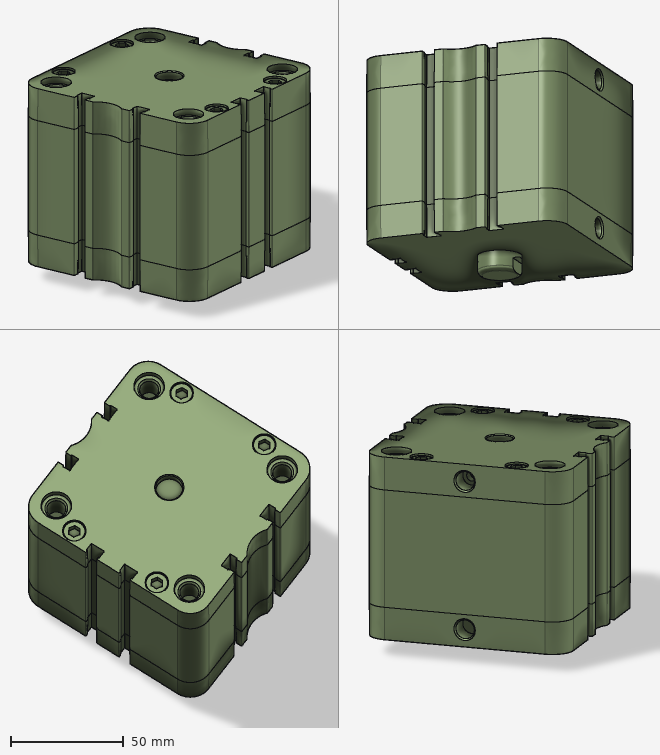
import cadquery as cq
import math

SIDE = 95.5
HALF_SIDE = SIDE / 2
CORNER_RADIUS = 10.0
BOTTOM_CAP_HEIGHT = 15.0
TUBE_HEIGHT = 54.0
TOP_CAP_HEIGHT = 15.1
TUBE_TOP = BOTTOM_CAP_HEIGHT + TUBE_HEIGHT
TOP_FACE = TUBE_TOP + TOP_CAP_HEIGHT

SLOT_MOUTH_WIDTH = 5.5
SLOT_INNER_WIDTH = 6.7
Y_SIDE_SLOT_OFFSET = 15.0
Y_SIDE_SLOT_LIP = 3.2
Y_SIDE_SLOT_DEPTH = 6.6
X_SIDE_SLOT_OFFSET = 9.0
X_SIDE_SLOT_LIP = 1.5
X_SIDE_SLOT_DEPTH = 5.2

GROOVE_RADIUS = 12.5
GROOVE_DEPTH = 2.8
GROOVE_HALF_WIDTH = math.sqrt(GROOVE_RADIUS**2 - (GROOVE_RADIUS - GROOVE_DEPTH) ** 2)

SLOT_EDGE_RADIUS = 0.3
GROOVE_EDGE_RADIUS = 0.5

CAP_DRAFT = 0.5

MOUNT_OFFSET = 36.0
MOUNT_COUNTERBORE_DIAMETER = 13.5
MOUNT_COUNTERBORE_DEPTH = 3.0
MOUNT_HOLE_DIAMETER = 8.4
MOUNT_CHAMFER_DIAMETER = 10.1

SCREW_OFFSET_X = 41.6
SCREW_OFFSET_Y = 22.3
SCREW_RECESS_DIAMETER = 10.3
SCREW_RECESS_DEPTH = 0.8
SCREW_EDGE_CHAMFER = 0.4
HEX_ACROSS_FLATS = 5.0
HEX_DEPTH = 3.0

CENTRE_DIAMETER = 12.0
CENTRE_CHAMFER_DIAMETER = 13.0
CENTRE_DEPTH = 4.0

PORT_DIAMETER = 8.6
PORT_CHAMFER_DIAMETER = 10.1
PORT_DEPTH = 10.0
BOTTOM_PORT_HEIGHT = 8.0
TOP_PORT_HEIGHT = TOP_FACE - 7.8
PASSAGE_DIAMETER = 5.0
PASSAGE_DEPTH = 5.0

ROD_DIAMETER = 20.0
ROD_LENGTH = 9.0
ROD_END_FILLET = 2.0
FLAT_SPACING = 17.0
FLAT_TOP_DEPTH = 3.15


def slot_cutter(side_angle, offset, lip, depth):
    """T-shaped slot cut into the +X side, then turned about Z to another side."""
    mouth = cq.Workplane("XY").box(depth, SLOT_MOUTH_WIDTH, TUBE_HEIGHT, centered=(False, True, False))
    inner = cq.Workplane("XY").box(
        depth - lip, SLOT_INNER_WIDTH, TUBE_HEIGHT, centered=(False, True, False)
    )
    slot = mouth.union(inner).translate((HALF_SIDE - depth, offset, 0))
    return slot.rotate((0, 0, 0), (0, 0, 1), side_angle)


def on_y_side(edge):
    return math.isclose(abs(edge.Center().y), HALF_SIDE)


def is_groove_edge(edge):
    """True for a vertical edge where a round groove meets a Y side."""
    return on_y_side(edge) and math.isclose(abs(edge.Center().x), GROOVE_HALF_WIDTH, rel_tol=0.001)


def is_slot_edge(edge):
    """True for a vertical edge at the mouth of a sensor slot."""
    centre = edge.Center()
    if on_y_side(edge):
        along, slot_offset = centre.x, Y_SIDE_SLOT_OFFSET
    elif math.isclose(centre.x, HALF_SIDE):
        along, slot_offset = centre.y, X_SIDE_SLOT_OFFSET
    else:
        return False
    return math.isclose(abs(abs(along) - slot_offset), SLOT_MOUTH_WIDTH / 2)


def make_profile_block():
    """Rounded square prism as long as the tube, with the sensor slots and side grooves."""
    block = cq.Workplane("XY").rect(SIDE, SIDE).extrude(TUBE_HEIGHT).edges("|Z").fillet(CORNER_RADIUS)
    for direction in (-1, 1):
        x_side_offset = direction * X_SIDE_SLOT_OFFSET
        block = block.cut(slot_cutter(0, x_side_offset, X_SIDE_SLOT_LIP, X_SIDE_SLOT_DEPTH))
        y_side_offset = direction * Y_SIDE_SLOT_OFFSET
        for side_angle in (90, -90):
            block = block.cut(
                slot_cutter(side_angle, y_side_offset, Y_SIDE_SLOT_LIP, Y_SIDE_SLOT_DEPTH)
            )
        groove_centre = direction * (HALF_SIDE - GROOVE_DEPTH + GROOVE_RADIUS)
        groove = cq.Workplane("XY").center(0, groove_centre).circle(GROOVE_RADIUS).extrude(TUBE_HEIGHT)
        block = block.cut(groove)
    block = block.edges("|Z").filter(is_groove_edge).fillet(GROOVE_EDGE_RADIUS)
    return block.edges("|Z").filter(is_slot_edge).fillet(SLOT_EDGE_RADIUS)


def drafted_cap(height):
    """Cap blank standing on the tube profile at Z = 0 and narrowing upwards."""
    outline = make_profile_block().faces("<Z").wires().val()
    return cq.Workplane("XY").add(outline).toPending().extrude(height, taper=CAP_DRAFT)


def chamfered_hole(diameter, chamfer_diameter, depth):
    """Blind hole going down from Z = 0 with a 45 degree chamfer at its mouth."""
    radius = diameter / 2
    mouth_radius = chamfer_diameter / 2
    return (
        cq.Workplane("XZ")
        .polyline(
            [(0, 0), (mouth_radius, 0), (radius, radius - mouth_radius), (radius, -depth), (0, -depth)]
        )
        .close()
        .revolve(360, (0, 0, 0), (0, 1, 0))
    )


def port_cutter(height):
    """Chamfered blind port bored into the -X side."""
    hole = chamfered_hole(PORT_DIAMETER, PORT_CHAMFER_DIAMETER, PORT_DEPTH)
    return hole.rotate((0, 0, 0), (0, 1, 0), -90).translate((-HALF_SIDE, 0, height))


def mount_cutter():
    """Counterbored threaded hole that passes through the top cap."""
    counterbore = (
        cq.Workplane("XY").circle(MOUNT_COUNTERBORE_DIAMETER / 2).extrude(-MOUNT_COUNTERBORE_DEPTH)
    )
    hole = chamfered_hole(
        MOUNT_HOLE_DIAMETER, MOUNT_CHAMFER_DIAMETER, TOP_CAP_HEIGHT - MOUNT_COUNTERBORE_DEPTH
    )
    return counterbore.union(hole.translate((0, 0, -MOUNT_COUNTERBORE_DEPTH)))


def screw_cutter():
    """Space around a recessed screw head: its chamfered rim and hexagon socket."""
    rim_depth = SCREW_RECESS_DEPTH + SCREW_EDGE_CHAMFER
    recess = cq.Workplane("XY").circle(SCREW_RECESS_DIAMETER / 2).extrude(-rim_depth)
    head = (
        cq.Workplane("XY", origin=(0, 0, -rim_depth))
        .circle(SCREW_RECESS_DIAMETER / 2)
        .extrude(SCREW_EDGE_CHAMFER, taper=45)
    )
    hex_corner_diameter = HEX_ACROSS_FLATS / math.cos(math.radians(30))
    socket = (
        cq.Workplane("XY", origin=(0, 0, -SCREW_RECESS_DEPTH))
        .transformed(rotate=(0, 0, 30))
        .polygon(6, hex_corner_diameter)
        .extrude(-HEX_DEPTH)
    )
    return recess.cut(head).union(socket)


def make_bottom_cap():
    """Cap at the rod end, with a plain port."""
    cap = drafted_cap(BOTTOM_CAP_HEIGHT).mirror("XY").translate((0, 0, BOTTOM_CAP_HEIGHT))
    return cap.cut(port_cutter(BOTTOM_PORT_HEIGHT))


def make_tube():
    """Middle body between the two caps."""
    return make_profile_block().translate((0, 0, BOTTOM_CAP_HEIGHT))


def make_top_cap():
    """Closed-end cap with mounting holes, screw heads, centring recess and a stepped port."""
    cap = drafted_cap(TOP_CAP_HEIGHT).translate((0, 0, TUBE_TOP))
    for x_sign in (-1, 1):
        for y_sign in (-1, 1):
            mount = mount_cutter().translate((x_sign * MOUNT_OFFSET, y_sign * MOUNT_OFFSET, TOP_FACE))
            screw = screw_cutter().translate((x_sign * SCREW_OFFSET_X, y_sign * SCREW_OFFSET_Y, TOP_FACE))
            cap = cap.cut(mount).cut(screw)
    centre = chamfered_hole(CENTRE_DIAMETER, CENTRE_CHAMFER_DIAMETER, CENTRE_DEPTH)
    cap = cap.cut(centre.translate((0, 0, TOP_FACE)))
    cap = cap.cut(port_cutter(TOP_PORT_HEIGHT))
    passage = (
        cq.Workplane("YZ", origin=(-HALF_SIDE, 0, TOP_PORT_HEIGHT))
        .circle(PASSAGE_DIAMETER / 2)
        .extrude(PORT_DEPTH + PASSAGE_DEPTH)
    )
    return cap.cut(passage)


def flat_cutter():
    """Wrench flat on the +X side of the rod, with a 45 degree run-out at its top."""
    flat_x = FLAT_SPACING / 2
    outer_x = ROD_DIAMETER
    run_out = outer_x - flat_x
    return (
        cq.Workplane("XZ")
        .polyline(
            [
                (flat_x, -ROD_LENGTH),
                (flat_x, -FLAT_TOP_DEPTH),
                (outer_x, -FLAT_TOP_DEPTH + run_out),
                (outer_x, -ROD_LENGTH),
            ]
        )
        .close()
        .extrude(ROD_DIAMETER / 2, both=True)
    )


def make_rod():
    """Rod end below the bottom cap, with a rounded tip and two wrench flats."""
    rod = cq.Workplane("XY").circle(ROD_DIAMETER / 2).extrude(-ROD_LENGTH)
    rod = rod.faces("<Z").edges().fillet(ROD_END_FILLET)
    flat = flat_cutter()
    return rod.cut(flat).cut(flat.mirror("YZ"))


bottom_cap = make_bottom_cap()
tube = make_tube()
top_cap = make_top_cap()
rod = make_rod()

result = cq.Compound.makeCompound([bottom_cap.val(), tube.val(), top_cap.val(), rod.val()])